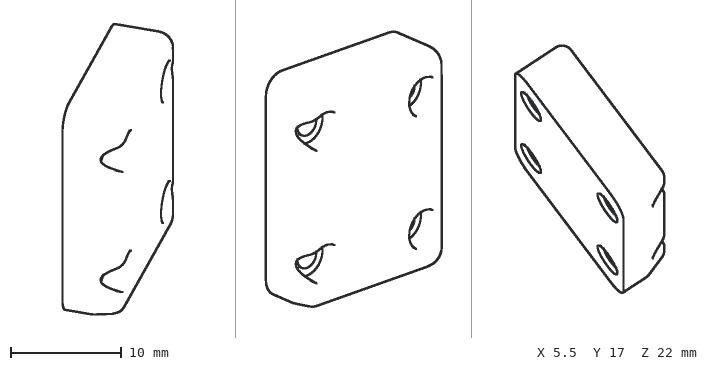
import cadquery as cq
import math

thickness = 5.5
width = 17.0
height = 22.0

slope_start = thickness / 2
slope_angle = math.radians(20)
slope_inset = (thickness - slope_start) * math.tan(slope_angle)

corner_radius = 2.0
side_radius = corner_radius / 2

hole_spacing_y = 12.0
hole_spacing_z = 13.0
hole_diameter = 2.3
hole_chamfer = 0.4
counterbore_diameter = 3.8
counterbore_depth = thickness / 2
counterbore_rim_radius = 0.2


def make_block():
    """Extrude the XY outline, with one sloped side, over the full height."""
    return (
        cq.Workplane("XY")
        .moveTo(0, -width / 2)
        .lineTo(slope_start, -width / 2)
        .lineTo(thickness, -width / 2 + slope_inset)
        .lineTo(thickness, width / 2)
        .lineTo(0, width / 2)
        .close()
        .extrude(height / 2, both=True)
    )


def round_edges(block):
    """Round every edge except those around the flat -X face.

    The top and bottom edges come first. They meet in curved seams at the
    corners, and the smaller upright fillets then run out along those seams.
    """
    body = block.faces("<Z or >Z").edges("not <X").fillet(corner_radius)
    return body.edges("|Z").edges("not <X").fillet(side_radius)


def cut_hole_pattern(body, diameter, depth):
    """Cut the four holes of one diameter to a depth below the +X face."""
    holes = (
        cq.Workplane("YZ", origin=(thickness - depth, 0, 0))
        .rarray(hole_spacing_y, hole_spacing_z, 2, 2)
        .circle(diameter / 2)
        .extrude(depth)
    )
    return body.cut(holes)


def cut_counterbores(body):
    """Sink the counterbores, which break out through the sloped side, and round their rims."""
    body = cut_hole_pattern(body, counterbore_diameter, counterbore_depth)
    return body.faces(">X").edges("%CIRCLE").fillet(counterbore_rim_radius)


def cut_holes(body):
    """Drill the through holes and chamfer their mouths on the -X face."""
    body = cut_hole_pattern(body, hole_diameter, thickness)
    smallest_circles = cq.selectors.RadiusNthSelector(0)
    return body.faces("<X").edges("%CIRCLE").edges(smallest_circles).chamfer(hole_chamfer)


result = cut_holes(cut_counterbores(round_edges(make_block())))